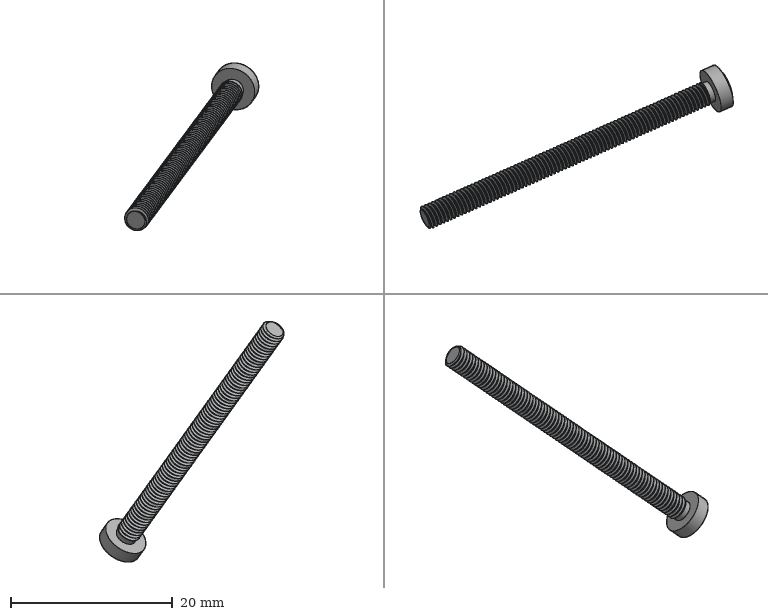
import cadquery as cq

head_diameter = 5.6
rim_height = 1.7
dome_height = 0.68

total_length = 42.4
shank_length = total_length - rim_height - dome_height
neck_diameter = 2.65
neck_length = 0.7

pitch = 0.5
major_diameter = 3.0
minor_diameter = 2.37
crest_width = pitch / 8
root_gap = pitch / 4
root_overlap = 0.05
tip_chamfer_length = 0.15

turns_per_block = 5
block_length = turns_per_block * pitch
block_count = round(shank_length / block_length)

head_radius = head_diameter / 2
neck_radius = neck_diameter / 2
major_radius = major_diameter / 2
minor_radius = minor_diameter / 2


def make_head():
    """Cylindrical rim with a shallow spherical dome, revolved about Z."""
    dome_radius = (head_radius**2 + dome_height**2) / (2 * dome_height)
    mid_x = head_radius / 2
    mid_sag = dome_radius - (dome_radius**2 - mid_x**2) ** 0.5
    top = -(rim_height + dome_height)
    return (
        cq.Workplane("XZ")
        .lineTo(head_radius, 0)
        .lineTo(head_radius, -rim_height)
        .threePointArc((mid_x, top + mid_sag), (0, top))
        .close()
        .revolve(360, (0, 0), (0, 1))
    )


def make_ridge(turns):
    """Helical ridge that starts one pitch below Z = 0 with its crest toward +X."""
    half_crest = crest_width / 2
    half_root = (pitch - root_gap) / 2
    flank_slope = (half_root - half_crest) / (major_radius - minor_radius)
    half_base = half_root + flank_slope * root_overlap
    buried_radius = minor_radius - root_overlap
    corners = [
        (buried_radius, -pitch - half_base),
        (major_radius, -pitch - half_crest),
        (major_radius, -pitch + half_crest),
        (buried_radius, -pitch + half_base),
    ]
    edges = [
        cq.Wire.makeHelix(pitch, turns * pitch, radius, center=cq.Vector(0, 0, height)).Edges()[0]
        for radius, height in corners
    ]
    flanks = [
        cq.Face.makeRuledSurface(edge, following)
        for edge, following in zip(edges, edges[1:] + edges[:1])
    ]
    caps = [
        cq.Face.makeFromWires(cq.Wire.makePolygon([edge.positionAt(end) for edge in edges], close=True))
        for end in (0, 1)
    ]
    return cq.Workplane(cq.Solid.makeSolid(cq.Shell.makeShell(flanks + caps)))


def make_threaded_block():
    """A whole number of thread turns, cut square at both ends so that copies stack."""
    core = (
        cq.Workplane("XY")
        .workplane(offset=-2 * pitch)
        .circle(minor_radius)
        .extrude(block_length + 4 * pitch)
    )
    slab = cq.Workplane("XY").circle(major_diameter).extrude(block_length)
    return core.union(make_ridge(turns_per_block + 2)).intersect(slab)


def make_neck_block(block):
    """The block under the head, with the thread turned down to the plain neck."""
    relief = cq.Workplane("XY").circle(major_diameter).extrude(neck_length)
    neck = cq.Workplane("XY").circle(neck_radius).extrude(neck_length)
    return block.cut(relief).union(neck)


def make_tip_block(block):
    """The last block, with its thread chamfered at the free end."""
    chamfer_slope = (major_radius - minor_radius) / tip_chamfer_length
    base_radius = minor_radius + chamfer_slope * block_length
    cone = cq.Workplane(cq.Solid.makeCone(base_radius, minor_radius, block_length))
    return block.intersect(cone)


def make_shank():
    """Thread blocks stacked from the neck to the tip and sewn into one skin."""
    plain_block = make_threaded_block()
    neck_faces = make_neck_block(plain_block).faces("not >Z").vals()
    plain_faces = plain_block.faces("not (<Z or >Z)").vals()
    tip_faces = make_tip_block(plain_block).faces("not <Z").vals()
    block_faces = [neck_faces] + [plain_faces] * (block_count - 2) + [tip_faces]
    skin = [
        face.translate(cq.Vector(0, 0, n * block_length))
        for n, faces in enumerate(block_faces)
        for face in faces
    ]
    return cq.Workplane(cq.Solid.makeSolid(cq.Shell.makeShell(skin)))


screw = make_shank().union(make_head())
result = screw.rotate((0, 0, 0), (1, 0, 0), 90).solids()